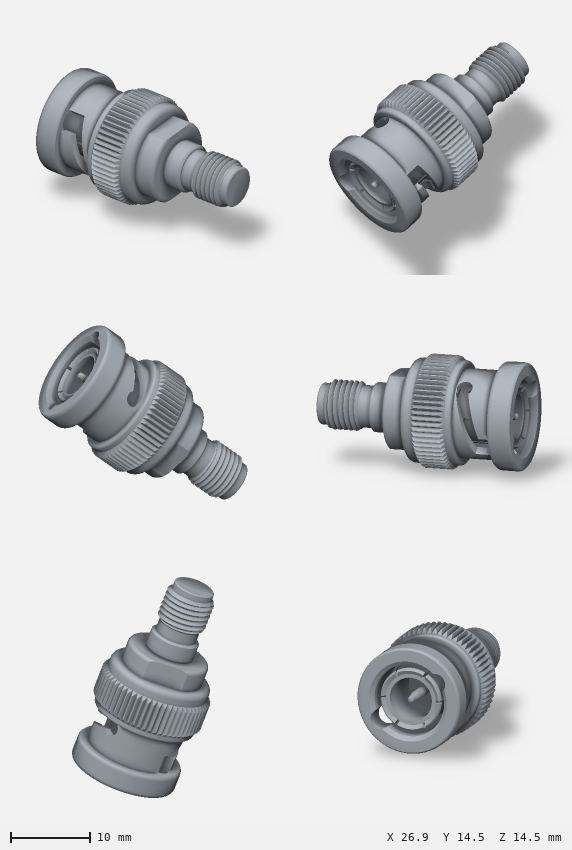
import cadquery as cq
import math

LENGTH = 26.92

FLANGE_RADIUS = 6.92
FLANGE_LENGTH = 3.02
FLANGE_ROUND_LENGTH = 0.5
FLANGE_ROUND_DROP = 0.25
SLEEVE_RADIUS = 5.7
COLLAR_RADIUS = 6.68
COLLAR_START = 7.91
COLLAR_END = 14.7
COLLAR_FRONT_ROUND = 0.32
COLLAR_REAR_ROUND = 0.73
NUT_BORE_RADIUS = 4.68
NUT_MOUTH_RADIUS = 5.22
NUT_MOUTH_DEPTH = 0.5
NUT_BORE_DEPTH = 8.08

KNURL_RADIUS = 7.25
KNURL_START = 8.75
KNURL_END = 13.16
KNURL_CHAMFER_LENGTH = 0.48
TOOTH_COUNT = 60
TOOTH_TIP_WIDTH = 0.13
TOOTH_BASE_WIDTH = 0.65

GROOVE_ANGLE = 35.5
GROOVE_RADIUS = 1.3
GROOVE_OFFSET = 4.58
WINDOW_LOW_ANGLE = 21.1
WINDOW_HIGH_ANGLE = 49.8
CAM_START = 4.58
CAM_WIDTH = 1.65
CAM_TWIST = 37.15
CAM_END_ANGLE = -39.0
DETENT_ANGLE = -46.2
DETENT_X = 6.8
DETENT_RADIUS = 1.02

FINGER_TIP_X = 0.75
FINGER_TIP_RADIUS = 3.82
FINGER_BULGE_RADIUS = 4.1
FINGER_BULGE_LENGTH = 1.08
FINGER_RADIUS = 3.7
FINGER_BORE_RADIUS = 3.35
FINGER_MOUTH_DEPTH = 0.35
FINGER_SLOT_WIDTH = 0.38
FINGER_SLOT_COUNT = 6
FINGER_SLOT_END = 6.97
BARREL_RADIUS = 4.28
WRENCH_RADIUS = 5.38
WRENCH_END = 17.45
WRENCH_ROUND = 0.5
WRENCH_FLAT_OFFSET = 4.7

SHOULDER_RADIUS = 3.18
SHOULDER_END = 19.92
SHOULDER_CHAMFER = 0.25
SHOULDER_FRONT_CHAMFER = 0.1
NECK_RADIUS = 2.7
THREAD_START = 21.43
THREAD_END = 25.98
THREAD_RADIUS = 3.18
THREAD_PITCH = 0.705
THREAD_CREST_WIDTH = 0.08
THREAD_ROOT_GAP = 0.05
THREAD_CREST_X = 21.83
NOSE_RADIUS = 2.65
NOSE_CHAMFER = 0.13

LINER_FRONT = 1.1
LINER_BORE_RADIUS = 2.83
SOCKET_FLOOR = NUT_BORE_DEPTH
INSULATOR_RADIUS = 2.45
INSULATOR_END = 13.45
PIN_SHANK_RADIUS = 1.13
PIN_RADIUS = 0.62
PIN_TIP_X = 0.95
PIN_TIP_RADIUS = 0.22
PIN_NOSE_LENGTH = 0.1
PIN_NOSE_RADIUS = 0.38
PIN_TAPER_END = 2.83


def turned(profile):
    """Revolve a closed (X, radius) profile about the X axis."""
    return profile.close().revolve(360, (0, 0, 0), (1, 0, 0))


def ring(start, end, outer_radius, inner_radius=None):
    """Plain cylinder or tube along X."""
    circles = cq.Workplane("YZ", origin=(start, 0, 0)).circle(outer_radius)
    if inner_radius is not None:
        circles = circles.circle(inner_radius)
    return circles.extrude(end - start)


def about_x(shape, angle):
    return shape.rotate((0, 0, 0), (1, 0, 0), angle)


def yz_point(radius, angle):
    """Point in the YZ plane at an angle measured from -Y toward +Z."""
    turn = math.radians(angle)
    return (-radius * math.cos(turn), radius * math.sin(turn))


def sector(start, low_angle, high_angle, margin=0.27):
    """Wedge outline on the plane X = start that overshoots the sleeve wall by a radial margin."""
    inner = NUT_BORE_RADIUS - margin
    outer = SLEEVE_RADIUS + margin
    middle = (low_angle + high_angle) / 2
    return (
        cq.Workplane("YZ", origin=(start, 0, 0))
        .moveTo(*yz_point(inner, low_angle))
        .lineTo(*yz_point(outer, low_angle))
        .threePointArc(yz_point(outer, middle), yz_point(outer, high_angle))
        .lineTo(*yz_point(inner, high_angle))
        .threePointArc(yz_point(inner, middle), yz_point(inner, low_angle))
        .close()
    )


def nut_blank():
    flange_face = FLANGE_RADIUS - FLANGE_ROUND_DROP
    rim_arc = (FLANGE_ROUND_LENGTH**2 + FLANGE_ROUND_DROP**2) / (2 * FLANGE_ROUND_DROP)
    rim_half_turn = math.asin(FLANGE_ROUND_LENGTH / rim_arc) / 2
    rim_mid_x = FLANGE_ROUND_LENGTH - rim_arc * math.sin(rim_half_turn)
    rim_mid_r = FLANGE_RADIUS - rim_arc * (1 - math.cos(rim_half_turn))
    corner = math.sqrt(0.5)
    front_arc_x = COLLAR_START + COLLAR_FRONT_ROUND * (1 - corner)
    front_arc_r = COLLAR_RADIUS - COLLAR_FRONT_ROUND * (1 - corner)
    rear_arc_x = COLLAR_END - COLLAR_REAR_ROUND * (1 - corner)
    rear_arc_r = COLLAR_RADIUS - COLLAR_REAR_ROUND * (1 - corner)
    return turned(
        cq.Workplane("XZ")
        .moveTo(0, NUT_MOUTH_RADIUS)
        .lineTo(0, flange_face)
        .threePointArc((rim_mid_x, rim_mid_r), (FLANGE_ROUND_LENGTH, FLANGE_RADIUS))
        .lineTo(FLANGE_LENGTH - FLANGE_ROUND_LENGTH, FLANGE_RADIUS)
        .threePointArc((FLANGE_LENGTH - rim_mid_x, rim_mid_r), (FLANGE_LENGTH, flange_face))
        .lineTo(FLANGE_LENGTH, SLEEVE_RADIUS)
        .lineTo(COLLAR_START, SLEEVE_RADIUS)
        .lineTo(COLLAR_START, COLLAR_RADIUS - COLLAR_FRONT_ROUND)
        .threePointArc((front_arc_x, front_arc_r), (COLLAR_START + COLLAR_FRONT_ROUND, COLLAR_RADIUS))
        .lineTo(COLLAR_END - COLLAR_REAR_ROUND, COLLAR_RADIUS)
        .threePointArc((rear_arc_x, rear_arc_r), (COLLAR_END, COLLAR_RADIUS - COLLAR_REAR_ROUND))
        .lineTo(COLLAR_END, BARREL_RADIUS)
        .lineTo(NUT_BORE_DEPTH, BARREL_RADIUS)
        .lineTo(NUT_BORE_DEPTH, NUT_BORE_RADIUS)
        .lineTo(NUT_MOUTH_DEPTH, NUT_BORE_RADIUS)
    )


def knurl():
    """Toothed ring with both ends of the teeth chamfered down to the collar."""
    pitch = 360 / TOOTH_COUNT
    half_tip = math.degrees(TOOTH_TIP_WIDTH / 2 / KNURL_RADIUS)
    half_base = math.degrees(TOOTH_BASE_WIDTH / 2 / COLLAR_RADIUS)
    outline = []
    for tooth in range(TOOTH_COUNT):
        centre = (tooth + 0.5) * pitch
        outline.append(yz_point(COLLAR_RADIUS, centre - half_base))
        outline.append(yz_point(KNURL_RADIUS, centre - half_tip))
        outline.append(yz_point(KNURL_RADIUS, centre + half_tip))
        outline.append(yz_point(COLLAR_RADIUS, centre + half_base))
    teeth = (
        cq.Workplane("YZ", origin=(KNURL_START, 0, 0))
        .polyline(outline)
        .close()
        .circle(BARREL_RADIUS + 0.27)
        .extrude(KNURL_END - KNURL_START)
    )
    envelope = turned(
        cq.Workplane("XZ")
        .moveTo(KNURL_START, 0)
        .lineTo(KNURL_START, COLLAR_RADIUS)
        .lineTo(KNURL_START + KNURL_CHAMFER_LENGTH, KNURL_RADIUS)
        .lineTo(KNURL_END - KNURL_CHAMFER_LENGTH, KNURL_RADIUS)
        .lineTo(KNURL_END, COLLAR_RADIUS)
        .lineTo(KNURL_END, 0)
    )
    return teeth.intersect(envelope)


def entry_groove():
    """Round groove through the flange that lets a bayonet stud in."""
    return (
        cq.Workplane("YZ")
        .center(*yz_point(GROOVE_OFFSET, GROOVE_ANGLE))
        .circle(GROOVE_RADIUS)
        .extrude(FLANGE_LENGTH)
    )


def cam_lead_in():
    """Straight first stretch of the cam window, behind the flange."""
    return sector(FLANGE_LENGTH, WINDOW_LOW_ANGLE, WINDOW_HIGH_ANGLE).extrude(CAM_START - FLANGE_LENGTH)


def cam_ramp():
    """Helical stretch of the cam window, trimmed to the angles it runs between."""
    length = COLLAR_START - CAM_START
    high_angle = WINDOW_LOW_ANGLE + CAM_WIDTH * CAM_TWIST
    spiral = sector(CAM_START, WINDOW_LOW_ANGLE, high_angle).twistExtrude(length, CAM_TWIST * length)
    limits = sector(FLANGE_LENGTH, CAM_END_ANGLE, WINDOW_HIGH_ANGLE, 0.55)
    return spiral.intersect(limits.extrude(COLLAR_END - FLANGE_LENGTH))


def cam_detent():
    """Round radial hole at the end of the cam window."""
    hole = cq.Workplane("XZ", origin=(DETENT_X, 0, 0)).circle(DETENT_RADIUS).extrude(SLEEVE_RADIUS + 0.27)
    hole = hole.cut(ring(0, COLLAR_END, NUT_BORE_RADIUS - 0.27))
    return about_x(hole, -DETENT_ANGLE)


def make_coupling_nut():
    nut = nut_blank().union(knurl())
    for opening in (entry_groove(), cam_lead_in(), cam_ramp(), cam_detent()):
        for turn in (0, 180):
            nut = nut.cut(about_x(opening, turn))
    return nut


def body_blank():
    mouth_x = FINGER_TIP_X + FINGER_MOUTH_DEPTH
    bulge_x = FINGER_TIP_X + FINGER_BULGE_LENGTH / 2
    round_x = WRENCH_END - WRENCH_ROUND * (1 - math.sqrt(0.5))
    round_r = WRENCH_RADIUS - WRENCH_ROUND * (1 - math.sqrt(0.5))
    return turned(
        cq.Workplane("XZ")
        .moveTo(mouth_x, FINGER_BORE_RADIUS)
        .lineTo(FINGER_TIP_X, FINGER_TIP_RADIUS)
        .threePointArc((bulge_x, FINGER_BULGE_RADIUS), (FINGER_TIP_X + FINGER_BULGE_LENGTH, FINGER_RADIUS))
        .lineTo(NUT_BORE_DEPTH, FINGER_RADIUS)
        .lineTo(NUT_BORE_DEPTH, BARREL_RADIUS)
        .lineTo(COLLAR_END, BARREL_RADIUS)
        .lineTo(COLLAR_END, WRENCH_RADIUS)
        .lineTo(WRENCH_END - WRENCH_ROUND, WRENCH_RADIUS)
        .threePointArc((round_x, round_r), (WRENCH_END, WRENCH_RADIUS - WRENCH_ROUND))
        .lineTo(WRENCH_END, SHOULDER_RADIUS - SHOULDER_FRONT_CHAMFER)
        .lineTo(WRENCH_END + SHOULDER_CHAMFER, SHOULDER_RADIUS)
        .lineTo(SHOULDER_END - SHOULDER_CHAMFER, SHOULDER_RADIUS)
        .lineTo(SHOULDER_END, SHOULDER_RADIUS - SHOULDER_CHAMFER)
        .lineTo(SHOULDER_END, NECK_RADIUS)
        .lineTo(THREAD_END, NECK_RADIUS)
        .lineTo(THREAD_END, NOSE_RADIUS)
        .lineTo(LENGTH - NOSE_CHAMFER, NOSE_RADIUS)
        .lineTo(LENGTH, NOSE_RADIUS - NOSE_CHAMFER)
        .lineTo(LENGTH, 0)
        .lineTo(INSULATOR_END, 0)
        .lineTo(INSULATOR_END, INSULATOR_RADIUS)
        .lineTo(SOCKET_FLOOR, INSULATOR_RADIUS)
        .lineTo(SOCKET_FLOOR, FINGER_BORE_RADIUS)
    )


def finger_slots():
    slots = cq.Workplane("XY")
    slot_length = FINGER_SLOT_END - FINGER_TIP_X
    radial_depth = FINGER_BULGE_RADIUS + 0.27
    for index in range(FINGER_SLOT_COUNT):
        slot = (
            cq.Workplane("XY")
            .box(slot_length, radial_depth, FINGER_SLOT_WIDTH, centered=(False, False, True))
            .translate((FINGER_TIP_X, 0, 0))
        )
        slots = slots.add(about_x(slot, index * 360 / FINGER_SLOT_COUNT))
    return slots.combine()


def wrench_flats():
    """Blocks that trim the wrench collar to two flats facing up and down."""
    width = 2 * WRENCH_RADIUS
    length = WRENCH_END - COLLAR_END
    flat = cq.Workplane("XY").box(length, width, WRENCH_RADIUS, centered=(False, True, False))
    flat = flat.translate((COLLAR_END, 0, WRENCH_FLAT_OFFSET))
    return flat.union(about_x(flat, 180))


def thread():
    """Right-handed helical ridge, cut back at 45 degrees at both ends of the threaded length."""
    overshoot = 0.27
    embed = 0.03
    turns = math.ceil((THREAD_END - THREAD_START) / THREAD_PITCH)
    crest_half = THREAD_CREST_WIDTH / 2
    flank = (THREAD_PITCH - THREAD_ROOT_GAP - THREAD_CREST_WIDTH) / 2 / (THREAD_RADIUS - NECK_RADIUS)
    root_half = crest_half + flank * (THREAD_RADIUS - NECK_RADIUS + embed)
    path = cq.Wire.makeHelix(THREAD_PITCH, turns * THREAD_PITCH, NECK_RADIUS)
    ridge = (
        cq.Workplane("XZ")
        .moveTo(NECK_RADIUS - embed, -root_half)
        .lineTo(THREAD_RADIUS, -crest_half)
        .lineTo(THREAD_RADIUS, crest_half)
        .lineTo(NECK_RADIUS - embed, root_half)
        .close()
        .sweep(cq.Workplane(path), isFrenet=True)
    )
    ridge = ridge.rotate((0, 0, 0), (0, 1, 0), 90)
    ridge = about_x(ridge, 180).translate((THREAD_CREST_X - THREAD_PITCH, 0, 0))
    start = THREAD_START - overshoot
    end = THREAD_END + overshoot
    low = NECK_RADIUS - overshoot
    high = THREAD_RADIUS + overshoot
    envelope = turned(
        cq.Workplane("XZ")
        .moveTo(start, 0)
        .lineTo(start, low)
        .lineTo(start + high - low, high)
        .lineTo(end - high + low, high)
        .lineTo(end, low)
        .lineTo(end, 0)
    )
    return ridge.intersect(envelope)


def make_body():
    return body_blank().cut(finger_slots()).cut(wrench_flats()).union(thread())


def make_liner():
    return ring(LINER_FRONT, SOCKET_FLOOR, FINGER_BORE_RADIUS, LINER_BORE_RADIUS)


def make_insulator():
    return ring(SOCKET_FLOOR, INSULATOR_END, INSULATOR_RADIUS, PIN_SHANK_RADIUS)


def make_pin():
    return turned(
        cq.Workplane("XZ")
        .moveTo(PIN_TIP_X, 0)
        .lineTo(PIN_TIP_X, PIN_TIP_RADIUS)
        .lineTo(PIN_TIP_X + PIN_NOSE_LENGTH, PIN_NOSE_RADIUS)
        .lineTo(PIN_TAPER_END, PIN_RADIUS)
        .lineTo(SOCKET_FLOOR, PIN_RADIUS)
        .lineTo(SOCKET_FLOOR, PIN_SHANK_RADIUS)
        .lineTo(INSULATOR_END, PIN_SHANK_RADIUS)
        .lineTo(INSULATOR_END, 0)
    )


coupling_nut = make_coupling_nut()
body = make_body()
liner = make_liner()
insulator = make_insulator()
pin = make_pin()

result = cq.Compound.makeCompound(
    [coupling_nut.val(), body.val(), liner.val(), insulator.val(), pin.val()]
)